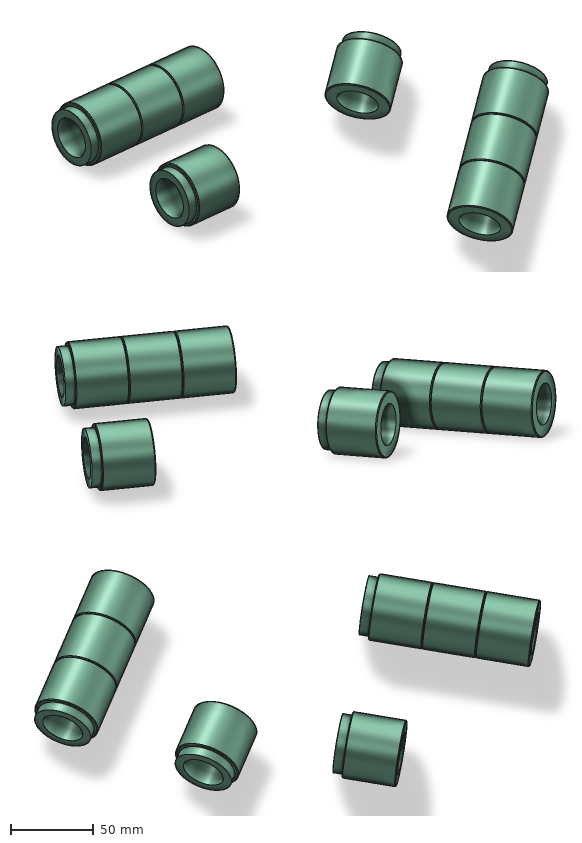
import cadquery as cq

overall_width = 131.9
overall_length = 105.1
outer_diameter = 40.9
spigot_diameter = 36.4
bore_diameter = 25.7
spigot_length = 6.0
edge_chamfer = 0.6
long_segment_count = 3

segment_length = (overall_length - spigot_length) / long_segment_count
sleeve_spacing = overall_width - outer_diameter


def rod_along_y(diameter, start, length):
    """Solid cylinder on the Y axis, running from start toward +Y."""
    return cq.Workplane("XZ", origin=(0, start, 0)).circle(diameter / 2).extrude(-length)


def make_sleeve(segment_count):
    """Bored sleeve with a front spigot; chamfered segments meet in V-grooves."""
    sleeve = rod_along_y(spigot_diameter, 0, spigot_length)
    for index in range(segment_count):
        start = spigot_length + index * segment_length
        segment = rod_along_y(outer_diameter, start, segment_length).edges().chamfer(edge_chamfer)
        sleeve = sleeve.union(segment)

    sleeve_length = spigot_length + segment_count * segment_length
    return sleeve.cut(rod_along_y(bore_diameter, 0, sleeve_length))


long_sleeve = make_sleeve(long_segment_count)
short_sleeve = make_sleeve(1).translate((sleeve_spacing, 0, 0))

result = cq.Compound.makeCompound([*long_sleeve.solids().vals(), *short_sleeve.solids().vals()])